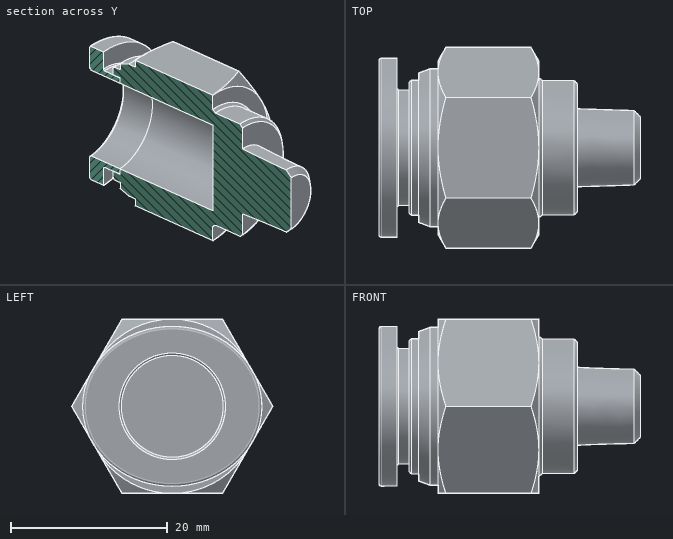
import cadquery as cq
import math

total_length = 33.4

flange_width = 22.88
flange_height = 20.4
flange_thickness = 2.35
flange_edge_fillet = 0.35
neck_diameter = 14.8
neck_root_chamfer = 0.17
bore_diameter = 13.0
bore_mouth_chamfer = 0.3
sleeve_end = 5.08

collar_start = 3.85
ring_start = 5.08
ring_cone_end = 6.55
hex_start = 7.55
hex_end = 20.4
shoulder_start = 20.88
shoulder_end = 25.35
bore_end = hex_end

collar_diameter = 17.3
collar_chamfer = 0.3
ring_front_diameter = 19.1
ring_diameter = 20.2
hex_across_flats = 22.25
hex_chamfer_angle = 30.0
shoulder_root_diameter = 17.9
shoulder_diameter = 17.2
shoulder_chamfer = 0.45
spigot_root_diameter = 10.0
spigot_taper = 1 / 16
spigot_chamfer = 0.85


def revolve_profile(points):
    """Revolve a closed (x, radius) outline about the X axis."""
    outline = cq.Workplane("XY").polyline(points).close()
    return outline.revolve(360, (0, 0, 0), (1, 0, 0))


def cylinder(start, end, diameter):
    """Solid cylinder on the X axis between two stations."""
    return cq.Workplane("YZ", origin=(start, 0, 0)).circle(diameter / 2).extrude(end - start)


def make_sleeve():
    flange = (
        cq.Workplane("YZ")
        .ellipse(flange_width / 2, flange_height / 2)
        .extrude(flange_thickness)
        .faces("<X").edges().fillet(flange_edge_fillet)
    )
    neck_radius = neck_diameter / 2
    neck = revolve_profile([
        (flange_thickness, 0),
        (flange_thickness, neck_radius + neck_root_chamfer),
        (flange_thickness + neck_root_chamfer, neck_radius),
        (sleeve_end, neck_radius),
        (sleeve_end, 0),
    ])
    bore_radius = bore_diameter / 2
    bore = revolve_profile([
        (0, 0),
        (0, bore_radius + bore_mouth_chamfer),
        (bore_mouth_chamfer, bore_radius),
        (sleeve_end, bore_radius),
        (sleeve_end, 0),
    ])
    return flange.union(neck).cut(bore)


def make_hex():
    """Hexagon with flats facing +Z and -Z and conically chamfered corners at both ends."""
    across_corners = hex_across_flats / math.cos(math.radians(30))
    prism = (
        cq.Workplane("YZ", origin=(hex_start, 0, 0))
        .polygon(6, across_corners)
        .extrude(hex_end - hex_start)
    )
    flat_radius = hex_across_flats / 2
    corner_radius = across_corners / 2
    chamfer_length = (corner_radius - flat_radius) * math.tan(math.radians(hex_chamfer_angle))
    chamfer_envelope = revolve_profile([
        (hex_start, 0),
        (hex_start, flat_radius),
        (hex_start + chamfer_length, corner_radius),
        (hex_end - chamfer_length, corner_radius),
        (hex_end, flat_radius),
        (hex_end, 0),
    ])
    return prism.intersect(chamfer_envelope)


def make_housing():
    collar_radius = collar_diameter / 2
    front = revolve_profile([
        (collar_start, 0),
        (collar_start, collar_radius - collar_chamfer),
        (collar_start + collar_chamfer, collar_radius),
        (ring_start, collar_radius),
        (ring_start, ring_front_diameter / 2),
        (ring_cone_end, ring_diameter / 2),
        (hex_start, ring_diameter / 2),
        (hex_start, 0),
    ])
    shoulder_radius = shoulder_diameter / 2
    spigot_root_radius = spigot_root_diameter / 2
    spigot_cone_end = total_length - spigot_chamfer
    spigot_end_radius = spigot_root_radius - (spigot_cone_end - shoulder_end) * spigot_taper / 2
    back = revolve_profile([
        (hex_end, 0),
        (hex_end, shoulder_root_diameter / 2),
        (shoulder_start, shoulder_radius),
        (shoulder_end - shoulder_chamfer, shoulder_radius),
        (shoulder_end, shoulder_radius - shoulder_chamfer),
        (shoulder_end, spigot_root_radius),
        (spigot_cone_end, spigot_end_radius),
        (total_length, spigot_end_radius - spigot_chamfer),
        (total_length, 0),
    ])
    sleeve_seat = cylinder(collar_start, sleeve_end, neck_diameter)
    tube_bore = cylinder(sleeve_end, bore_end, bore_diameter)
    return front.union(make_hex()).union(back).cut(sleeve_seat).cut(tube_bore)


sleeve = make_sleeve()
housing = make_housing()
result = cq.Compound.makeCompound([sleeve.solids().val(), housing.solids().val()])